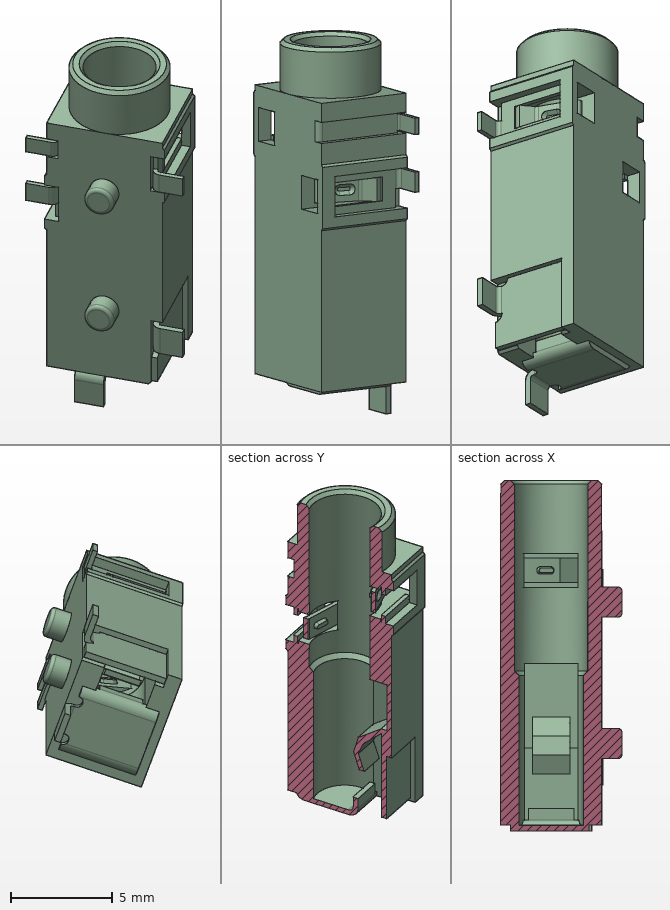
import cadquery as cq
import math

BODY_HALF_WIDTH = 2.99
BODY_HALF_DEPTH = 2.5
BODY_BOTTOM = 1.8
BODY_TOP = 16.3
PAD_HEIGHT = 0.11
PAD_HALF_LENGTH = 1.65

TOTAL_HEIGHT = 18.8
BARREL_RADIUS = BODY_HALF_DEPTH
BARREL_CHAMFER = 0.19
BORE_RADIUS = 1.8
BORE_MOUTH_RADIUS = 2.0
BORE_END_RADIUS = 1.58
BORE_TAPER_TOP = 9.4

PEG_RADIUS = 0.75
PEG_LENGTH = 1.0
PEG_ROUNDING = 0.19
PEG_HEIGHTS = (5.83, 12.8)

SHEET = 0.25
HEAVY_SHEET = 0.3
LEAD_FACE_Y = -2.55
LEAD_SPAN = 8.1
STRIP_INNER_X = 2.4
LEAD_TIP_X = LEAD_SPAN / 2
STRIP_OUTER_X = STRIP_INNER_X + SHEET

GROOVE_BOTTOM = 14.29
GROOVE_TOP = 15.35
GROUND_LEAD_WIDTH = 0.83
GROUND_BEND_RADIUS = 0.34
GROUND_CORNER_RADIUS = 0.3

LEFT_WINDOW_Z = 11.56
RIGHT_WINDOW_Z = 14.36
WINDOW_HEIGHT = 2.03
WINDOW_BACK_Y = 1.77
WINDOW_FLOOR_X = 2.37
WINDOW_LEAD_WIDTH = 1.02
WINDOW_LEAD_SHIFT = 0.45
WINDOW_BEND_RADIUS = 0.43
STRIP_FRONT_Y = -2.1
OPENING_HEIGHT = 1.2
OPENING_FRONT_Y = -1.32
CHAMBER_INNER_X = 1.22
CHAMBER_HEIGHT = 1.7
SPRING_CREST_Y = -1.02
SPRING_ROOT_DROP = 0.11
SPRING_KNEE = (2.01, -0.43)
SPRING_END = (1.47, 1.75)
SPRING_KNEE_RADIUS = 0.34
SPRING_END_RADIUS = 0.23
DIMPLE_LENGTH = 1.05
DIMPLE_WIDTH = 0.55
DIMPLE_DEPTH = 0.19
DIMPLE_Y = 0.34
BUMP_TAPER = 20
DENT_TAPER = 45

TIP_SLOT_TOP = 5.6
TIP_SLOT_CHAMFER = 0.13
TIP_STRIP_BOTTOM = 1.97
TIP_STRIP_FRONT_Y = -2.43
TIP_LEAD_BOTTOM = 3.78
TIP_LEAD_TOP = 5.26
TIP_BEND_RADIUS = 0.49
TIP_RELIEF_RADIUS = 0.4
TIP_CAVITY_TOP = 9.78
TIP_CAVITY_HALF_DEPTH = 1.32
TIP_SPRING_HALF_WIDTH = 0.92
TIP_SPRING_TOP = 7.15
TIP_SPRING_KNEE = (1.07, 6.2)
TIP_SPRING_APEX = (0.79, 5.26)
TIP_SPRING_END = (1.13, 4.32)

PLATE_LEFT_BEND_X = -2.01
PLATE_RIGHT_BEND_X = 0.53
PLATE_BACK_Y = 2.01
PLATE_FRONT_Y = -2.01
PLATE_BEND_RADIUS = 0.55
PLATE_ARM_TOP = 2.63
PLATE_ARM_HALF_DEPTH = 1.13
BOTTOM_LEAD_LEFT_X = -1.55
BOTTOM_LEAD_RIGHT_X = -0.04
BOTTOM_LEAD_BEND_RADIUS = 0.49
BOTTOM_RELIEF_RADIUS = 0.28

PLATE_BOTTOM = BODY_BOTTOM - HEAVY_SHEET


def block(x0, x1, y0, y1, z0, z1):
    """Box between two corners."""
    return cq.Workplane("XY").box(x1 - x0, y1 - y0, z1 - z0, centered=False).translate((x0, y0, z0))


def turned(shape):
    """Half a turn about the Y axis, which swaps left for right."""
    return shape.rotate((0, 0, 0), (0, 1, 0), 180)


def arc_mid(center, radius, degrees):
    """Point on an arc, used as its middle."""
    angle = math.radians(degrees)
    return (center[0] + radius * math.cos(angle), center[1] + radius * math.sin(angle))


def side_lead(inner_x, start_y, radius, sheet, z0, z1):
    """Right-hand lead: comes forward along a strip, then bends outward along +X."""
    center = (inner_x + radius, LEAD_FACE_Y + radius)
    inner_radius = radius - sheet
    return (
        cq.Workplane("XY", origin=(0, 0, z0))
        .moveTo(inner_x, start_y)
        .lineTo(inner_x, center[1])
        .threePointArc(arc_mid(center, radius, 225), (center[0], LEAD_FACE_Y))
        .lineTo(LEAD_TIP_X, LEAD_FACE_Y)
        .lineTo(LEAD_TIP_X, LEAD_FACE_Y + sheet)
        .lineTo(center[0], LEAD_FACE_Y + sheet)
        .threePointArc(arc_mid(center, inner_radius, 225), (inner_x + sheet, center[1]))
        .lineTo(inner_x + sheet, start_y)
        .close()
        .extrude(z1 - z0)
    )


def side_pad(z_mid):
    """Low pad with sloped ends on the right wall."""
    outer_x = BODY_HALF_WIDTH + PAD_HEIGHT
    return (
        cq.Workplane("XZ", origin=(0, BODY_HALF_DEPTH, 0))
        .moveTo(0, z_mid - PAD_HALF_LENGTH)
        .lineTo(BODY_HALF_WIDTH, z_mid - PAD_HALF_LENGTH)
        .lineTo(outer_x, z_mid - PAD_HALF_LENGTH + PAD_HEIGHT)
        .lineTo(outer_x, z_mid + PAD_HALF_LENGTH - PAD_HEIGHT)
        .lineTo(BODY_HALF_WIDTH, z_mid + PAD_HALF_LENGTH)
        .lineTo(0, z_mid + PAD_HALF_LENGTH)
        .close()
        .extrude(2 * BODY_HALF_DEPTH)
    )


def housing():
    """Solid block with side pads, barrel and pegs."""
    body = block(-BODY_HALF_WIDTH, BODY_HALF_WIDTH, -BODY_HALF_DEPTH, BODY_HALF_DEPTH, BODY_BOTTOM, BODY_TOP)
    body = body.union(side_pad(RIGHT_WINDOW_Z)).union(turned(side_pad(-LEFT_WINDOW_Z)))
    barrel = (
        cq.Workplane("XY", origin=(0, 0, BODY_TOP))
        .circle(BARREL_RADIUS)
        .extrude(TOTAL_HEIGHT - BODY_TOP)
        .faces(">Z")
        .chamfer(BARREL_CHAMFER)
    )
    pegs = (
        cq.Workplane("XZ", origin=(0, -BODY_HALF_DEPTH, 0))
        .pushPoints([(0, z) for z in PEG_HEIGHTS])
        .circle(PEG_RADIUS)
        .extrude(PEG_LENGTH)
        .faces("<Y")
        .edges()
        .fillet(PEG_ROUNDING)
    )
    return body.union(barrel).union(pegs)


def bore():
    """Stepped round bore from the barrel mouth through the bottom of the block."""
    mouth_depth = BORE_MOUTH_RADIUS - BORE_RADIUS
    taper_depth = BORE_RADIUS - BORE_END_RADIUS
    return (
        cq.Workplane("XZ")
        .moveTo(0, TOTAL_HEIGHT)
        .lineTo(BORE_MOUTH_RADIUS, TOTAL_HEIGHT)
        .lineTo(BORE_RADIUS, TOTAL_HEIGHT - mouth_depth)
        .lineTo(BORE_RADIUS, BORE_TAPER_TOP)
        .lineTo(BORE_END_RADIUS, BORE_TAPER_TOP - taper_depth)
        .lineTo(BORE_END_RADIUS, BODY_BOTTOM)
        .lineTo(0, BODY_BOTTOM)
        .close()
        .revolve(360, (0, 0, 0), (0, 1, 0))
    )


def window_cut(z_mid):
    """Right wall window, open to the front, and the chamber behind it, open to the bore and the back."""
    outer_x = BODY_HALF_WIDTH + PAD_HEIGHT
    half = WINDOW_HEIGHT / 2
    window = block(WINDOW_FLOOR_X, outer_x, -BODY_HALF_DEPTH, WINDOW_BACK_Y, z_mid - half, z_mid + half)
    half = CHAMBER_HEIGHT / 2
    chamber = block(
        CHAMBER_INNER_X, STRIP_OUTER_X, OPENING_FRONT_Y, BODY_HALF_DEPTH, z_mid - half, z_mid + half
    )
    return window.union(chamber)


def window_contact(z_mid):
    """Right-hand strip in the window, its lead, and the dimpled spring lanced inward from it."""
    half = WINDOW_HEIGHT / 2
    strip = block(STRIP_INNER_X, STRIP_OUTER_X, STRIP_FRONT_Y, WINDOW_BACK_Y, z_mid - half, z_mid + half)
    half = OPENING_HEIGHT / 2
    opening = block(
        STRIP_INNER_X, STRIP_OUTER_X, OPENING_FRONT_Y, WINDOW_BACK_Y, z_mid - half, z_mid + half
    )
    lead_mid = z_mid - WINDOW_LEAD_SHIFT
    half = WINDOW_LEAD_WIDTH / 2
    lead = side_lead(
        STRIP_INNER_X, STRIP_FRONT_Y + SHEET, WINDOW_BEND_RADIUS, SHEET, lead_mid - half, lead_mid + half
    )

    tilt = math.atan2(SPRING_KNEE[0] - SPRING_END[0], SPRING_END[1] - SPRING_KNEE[1])
    spring = (
        cq.Workplane("XY", origin=(0, 0, z_mid - OPENING_HEIGHT / 2))
        .moveTo(STRIP_OUTER_X - SPRING_ROOT_DROP, OPENING_FRONT_Y)
        .threePointArc(
            (STRIP_OUTER_X - SPRING_ROOT_DROP / 4, (OPENING_FRONT_Y + SPRING_CREST_Y) / 2),
            (STRIP_OUTER_X, SPRING_CREST_Y),
        )
        .lineTo(*SPRING_KNEE)
        .lineTo(*SPRING_END)
        .lineTo(SPRING_END[0] - SHEET, SPRING_END[1])
        .lineTo(SPRING_KNEE[0] - SHEET, SPRING_KNEE[1])
        .lineTo(STRIP_INNER_X, OPENING_FRONT_Y)
        .close()
        .extrude(OPENING_HEIGHT)
    )
    for corner, radius in ((SPRING_KNEE, SPRING_KNEE_RADIUS), (SPRING_END, SPRING_END_RADIUS)):
        edge = cq.selectors.NearestToPointSelector((corner[0], corner[1], z_mid))
        spring = spring.edges(edge).fillet(radius)
    dimple_x = SPRING_KNEE[0] - (DIMPLE_Y - SPRING_KNEE[1]) * math.tan(tilt)
    outer_face = cq.Plane(
        origin=(dimple_x, DIMPLE_Y, z_mid),
        xDir=(-math.sin(tilt), math.cos(tilt), 0),
        normal=(-math.cos(tilt), -math.sin(tilt), 0),
    )
    outline = cq.Workplane(outer_face).slot2D(DIMPLE_LENGTH, DIMPLE_WIDTH).val()
    bump = cq.Workplane(outer_face).add(outline).toPending().extrude(SHEET + DIMPLE_DEPTH, taper=BUMP_TAPER)
    dent = cq.Workplane(outer_face).add(outline).toPending().extrude(DIMPLE_DEPTH, taper=DENT_TAPER)
    return strip.cut(opening).union(lead).union(spring).union(bump).cut(dent)


def groove_cut():
    """Groove across the right wall, upside down, ready to be turned to the left."""
    return block(
        STRIP_INNER_X, BODY_HALF_WIDTH, -BODY_HALF_DEPTH, BODY_HALF_DEPTH, -GROOVE_TOP, -GROOVE_BOTTOM
    )


def ground_contact():
    """Strip along the groove with a rounded back corner and a lead, ready to be turned to the left.

    The strip reaches below the groove floor, which leaves room for the rounding.
    """
    strip_front_y = LEAD_FACE_Y + GROUND_BEND_RADIUS
    embedded_x = STRIP_INNER_X - SHEET
    strip = (
        block(embedded_x, STRIP_OUTER_X, strip_front_y, BODY_HALF_DEPTH, -GROOVE_TOP, -GROOVE_BOTTOM)
        .edges("|Z and >X and >Y")
        .fillet(GROUND_CORNER_RADIUS)
    )
    z_mid = -(GROOVE_TOP + GROOVE_BOTTOM) / 2
    half = GROUND_LEAD_WIDTH / 2
    lead = side_lead(
        STRIP_INNER_X, strip_front_y + SHEET, GROUND_BEND_RADIUS, SHEET, z_mid - half, z_mid + half
    )
    return strip.union(lead)


def tip_cut():
    """Lower right slot, flared at its bottom mouth, and the cavity that joins it to the bore."""
    slot = block(
        STRIP_INNER_X, BODY_HALF_WIDTH, -BODY_HALF_DEPTH, WINDOW_BACK_Y, BODY_BOTTOM, TIP_SLOT_TOP
    )
    flare = (
        cq.Workplane("XZ", origin=(0, WINDOW_BACK_Y, 0))
        .moveTo(STRIP_INNER_X, BODY_BOTTOM)
        .lineTo(STRIP_INNER_X - TIP_SLOT_CHAMFER, BODY_BOTTOM)
        .lineTo(STRIP_INNER_X, BODY_BOTTOM + TIP_SLOT_CHAMFER)
        .close()
        .extrude(WINDOW_BACK_Y + BODY_HALF_DEPTH)
    )
    depth = TIP_CAVITY_HALF_DEPTH
    cavity = block(
        PLATE_RIGHT_BEND_X, STRIP_INNER_X + HEAVY_SHEET, -depth, depth, BODY_BOTTOM, TIP_CAVITY_TOP
    )
    return slot.union(flare).union(cavity)


def tip_contact():
    """Strip in the lower right slot, its bent lead, and the spring folded toward the bore.

    The front edge of the strip has a concave arc below the lead and another above it.
    """
    neck_start_y = LEAD_FACE_Y + TIP_BEND_RADIUS + HEAVY_SHEET
    outer_x = STRIP_INNER_X + HEAVY_SHEET
    relief_top = (TIP_STRIP_FRONT_Y, TIP_LEAD_BOTTOM)
    neck_y = TIP_STRIP_FRONT_Y + TIP_RELIEF_RADIUS
    upper_radius = TIP_SLOT_TOP - TIP_LEAD_TOP
    upper_center = (neck_y, TIP_SLOT_TOP)
    strip = (
        cq.Workplane("YZ", origin=(STRIP_INNER_X, 0, 0))
        .moveTo(WINDOW_BACK_Y, TIP_STRIP_BOTTOM)
        .lineTo(TIP_STRIP_FRONT_Y, TIP_STRIP_BOTTOM)
        .lineTo(TIP_STRIP_FRONT_Y, TIP_LEAD_BOTTOM - TIP_RELIEF_RADIUS)
        .threePointArc(arc_mid(relief_top, TIP_RELIEF_RADIUS, 315), (neck_y, TIP_LEAD_BOTTOM))
        .lineTo(neck_y, TIP_LEAD_TOP)
        .threePointArc(arc_mid(upper_center, upper_radius, 315), (neck_y + upper_radius, TIP_SLOT_TOP))
        .lineTo(WINDOW_BACK_Y, TIP_SLOT_TOP)
        .close()
        .extrude(HEAVY_SHEET)
    )
    lead = side_lead(
        STRIP_INNER_X, neck_start_y, TIP_BEND_RADIUS, HEAVY_SHEET, TIP_LEAD_BOTTOM, TIP_LEAD_TOP
    )
    spring = (
        cq.Workplane("XZ", origin=(0, TIP_SPRING_HALF_WIDTH, 0))
        .moveTo(outer_x, TIP_SLOT_TOP)
        .lineTo(outer_x, TIP_SPRING_TOP)
        .lineTo(STRIP_INNER_X, TIP_SPRING_TOP)
        .lineTo(*TIP_SPRING_KNEE)
        .lineTo(*TIP_SPRING_APEX)
        .lineTo(*TIP_SPRING_END)
        .lineTo(TIP_SPRING_END[0] + HEAVY_SHEET, TIP_SPRING_END[1])
        .lineTo(TIP_SPRING_APEX[0] + HEAVY_SHEET, TIP_SPRING_APEX[1])
        .lineTo(TIP_SPRING_KNEE[0] + HEAVY_SHEET, TIP_SPRING_KNEE[1] - HEAVY_SHEET)
        .lineTo(STRIP_INNER_X, TIP_SPRING_TOP - HEAVY_SHEET)
        .lineTo(STRIP_INNER_X, TIP_SLOT_TOP)
        .close()
        .extrude(2 * TIP_SPRING_HALF_WIDTH)
    )
    return strip.union(lead).union(spring)


def bottom_plate():
    """Plate under the block whose left and right sides turn upward; the right one ends in an arm."""
    bend_z = PLATE_BOTTOM + PLATE_BEND_RADIUS
    inner_radius = PLATE_BEND_RADIUS - HEAVY_SHEET
    left = (PLATE_LEFT_BEND_X, bend_z)
    right = (PLATE_RIGHT_BEND_X, bend_z)
    return (
        cq.Workplane("XZ", origin=(0, PLATE_BACK_Y, 0))
        .moveTo(left[0] - PLATE_BEND_RADIUS, bend_z)
        .threePointArc(arc_mid(left, PLATE_BEND_RADIUS, 225), (left[0], PLATE_BOTTOM))
        .lineTo(right[0], PLATE_BOTTOM)
        .threePointArc(arc_mid(right, PLATE_BEND_RADIUS, 315), (right[0] + PLATE_BEND_RADIUS, bend_z))
        .lineTo(right[0] + inner_radius, bend_z)
        .threePointArc(arc_mid(right, inner_radius, 315), (right[0], BODY_BOTTOM))
        .lineTo(left[0], BODY_BOTTOM)
        .threePointArc(arc_mid(left, inner_radius, 225), (left[0] - inner_radius, bend_z))
        .close()
        .extrude(PLATE_BACK_Y - PLATE_FRONT_Y)
    )


def bottom_lead():
    """Lead that leaves the front edge of the bottom plate and bends downward."""
    bend_y = LEAD_FACE_Y + BOTTOM_LEAD_BEND_RADIUS
    bend = (bend_y, BODY_BOTTOM - BOTTOM_LEAD_BEND_RADIUS)
    inner_radius = BOTTOM_LEAD_BEND_RADIUS - HEAVY_SHEET
    return (
        cq.Workplane("YZ", origin=(BOTTOM_LEAD_LEFT_X, 0, 0))
        .moveTo(PLATE_FRONT_Y, BODY_BOTTOM)
        .lineTo(bend_y, BODY_BOTTOM)
        .threePointArc(arc_mid(bend, BOTTOM_LEAD_BEND_RADIUS, 135), (LEAD_FACE_Y, bend[1]))
        .lineTo(LEAD_FACE_Y, 0)
        .lineTo(LEAD_FACE_Y + HEAVY_SHEET, 0)
        .lineTo(LEAD_FACE_Y + HEAVY_SHEET, bend[1])
        .threePointArc(arc_mid(bend, inner_radius, 135), (bend_y, PLATE_BOTTOM))
        .lineTo(PLATE_FRONT_Y, PLATE_BOTTOM)
        .close()
        .extrude(BOTTOM_LEAD_RIGHT_X - BOTTOM_LEAD_LEFT_X)
    )


def plate_reliefs():
    """Half-round reliefs in the front edge of the plate, one on each side of the lead."""
    left_x = BOTTOM_LEAD_LEFT_X - BOTTOM_RELIEF_RADIUS
    right_x = BOTTOM_LEAD_RIGHT_X + BOTTOM_RELIEF_RADIUS
    return (
        cq.Workplane("XY", origin=(0, 0, PLATE_BOTTOM))
        .pushPoints([(left_x, PLATE_FRONT_Y), (right_x, PLATE_FRONT_Y)])
        .circle(BOTTOM_RELIEF_RADIUS)
        .extrude(HEAVY_SHEET)
    )


def bottom_contact():
    """Bottom plate, its lead and the upright arm on its right side."""
    arm_outer_x = PLATE_RIGHT_BEND_X + PLATE_BEND_RADIUS
    arm = block(
        arm_outer_x - HEAVY_SHEET,
        arm_outer_x,
        -PLATE_ARM_HALF_DEPTH,
        PLATE_ARM_HALF_DEPTH,
        PLATE_BOTTOM + PLATE_BEND_RADIUS,
        PLATE_ARM_TOP,
    )
    return bottom_plate().cut(plate_reliefs()).union(bottom_lead()).union(arm)


shell = (
    housing()
    .cut(bore())
    .cut(window_cut(RIGHT_WINDOW_Z))
    .cut(turned(window_cut(-LEFT_WINDOW_Z)))
    .cut(turned(groove_cut()))
    .cut(tip_cut())
)

result = (
    shell.union(window_contact(RIGHT_WINDOW_Z))
    .union(turned(window_contact(-LEFT_WINDOW_Z)))
    .union(turned(ground_contact()))
    .union(tip_contact())
    .union(bottom_contact())
)